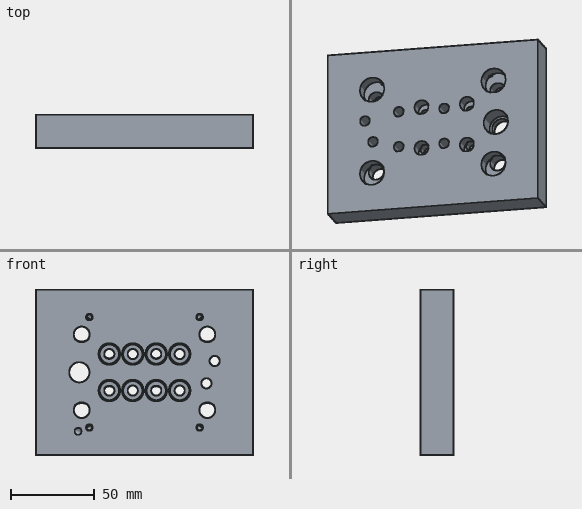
import cadquery as cq
import math

LENGTH = 130.0
THICKNESS = 20.0
HEIGHT = 99.0
FRONT_Y = -THICKNESS / 2
BACK_Y = THICKNESS / 2

DRILL_TIP_ANGLE = 118.0

OUTLET_COLUMNS = 4
OUTLET_PITCH = 14.0
OUTLET_ROW_Z = 10.9
OUTLET_DIA = 6.0
RECESS_MOUTH_DIA = 13.0
RECESS_FLOOR_DIA = 11.5
RECESS_DEPTH = 2.3

OUTLET_PORT_DIA = 8.6
OUTLET_PORT_OFFSET = 1.8
OUTLET_PORT_COLUMNS = (0, 2)

PASSAGE_X = 37.6
PASSAGE_Z = 22.6
PASSAGE_DIA = 9.4
MAIN_PORT_DIA = 15.0
PASSAGE_PORT_OFFSET = 3.4

PORT_DEPTH = THICKNESS / 2
PORT_OVERLAP = 1.3
MEETING_DEPTH = THICKNESS - PORT_DEPTH + PORT_OVERLAP

SUPPLY_X = -39.0
SUPPLY_DIA = 12.0
SUPPLY_FRONT_LENGTH = 6.0

PILOT_DIA = 6.0
PILOT_PLACES = ((42.0, 6.8), (37.0, -6.6))

SCREW_SPACING = 66.0
SCREW_DIA = 3.2
SCREW_MOUTH_DIA = 4.0
SCREW_CHAMFER = (SCREW_MOUTH_DIA - SCREW_DIA) / 2
BLIND_DEPTH = 10.4

LOCATOR_X = -39.8
LOCATOR_Z = -35.4
LOCATOR_DIA = 4.2


def front_cutter(x, z, mouth_dia, end_dia, depth, start=0.0):
    """Tapered or straight round cutter going in from `start` below the front face."""
    base = cq.Vector(x, FRONT_Y + start, z)
    inward = cq.Vector(0, 1, 0)
    if mouth_dia == end_dia:
        return cq.Solid.makeCylinder(mouth_dia / 2, depth, base, inward)
    return cq.Solid.makeCone(mouth_dia / 2, end_dia / 2, depth, base, inward)


def through_hole(x, z, dia):
    return front_cutter(x, z, dia, dia, THICKNESS)


def blind_hole(x, z, dia, depth):
    """Front drilling of full diameter to `depth`, ending in a drill point."""
    tip_length = dia / 2 / math.tan(math.radians(DRILL_TIP_ANGLE / 2))
    return front_cutter(x, z, dia, dia, depth).fuse(front_cutter(x, z, dia, 0, tip_length, start=depth))


def rear_port(x, z, dia, depth):
    """Flat-bottomed round port going in from the rear face."""
    return cq.Solid.makeCylinder(dia / 2, depth, cq.Vector(x, BACK_Y, z), cq.Vector(0, -1, 0))


def outlet_cutters():
    cutters = []
    for side in (-1, 1):
        z = side * OUTLET_ROW_Z
        for column in range(OUTLET_COLUMNS):
            x = (column - (OUTLET_COLUMNS - 1) / 2) * OUTLET_PITCH
            cutters.append(front_cutter(x, z, RECESS_MOUTH_DIA, RECESS_FLOOR_DIA, RECESS_DEPTH))
            if column in OUTLET_PORT_COLUMNS:
                port_z = z + side * OUTLET_PORT_OFFSET
                cutters.append(blind_hole(x, z, OUTLET_DIA, MEETING_DEPTH))
                cutters.append(rear_port(x, port_z, OUTLET_PORT_DIA, PORT_DEPTH))
            else:
                cutters.append(through_hole(x, z, OUTLET_DIA))
    return cutters


def passage_cutters():
    cutters = []
    for x in (-PASSAGE_X, PASSAGE_X):
        for side in (-1, 1):
            port_z = side * (PASSAGE_Z + PASSAGE_PORT_OFFSET)
            cutters.append(blind_hole(x, side * PASSAGE_Z, PASSAGE_DIA, MEETING_DEPTH))
            cutters.append(rear_port(x, port_z, MAIN_PORT_DIA, PORT_DEPTH))
    return cutters


def supply_cutters():
    port_depth = THICKNESS - SUPPLY_FRONT_LENGTH
    return [
        through_hole(SUPPLY_X, 0, SUPPLY_DIA),
        rear_port(SUPPLY_X, 0, MAIN_PORT_DIA, port_depth),
    ]


def screw_cutters():
    cutters = []
    for x in (-SCREW_SPACING / 2, SCREW_SPACING / 2):
        for z in (-SCREW_SPACING / 2, SCREW_SPACING / 2):
            cutters.append(blind_hole(x, z, SCREW_DIA, BLIND_DEPTH))
            cutters.append(front_cutter(x, z, SCREW_MOUTH_DIA, SCREW_DIA, SCREW_CHAMFER))
    return cutters


cutters = outlet_cutters() + passage_cutters() + supply_cutters() + screw_cutters()
cutters += [through_hole(x, z, PILOT_DIA) for x, z in PILOT_PLACES]
cutters.append(blind_hole(LOCATOR_X, LOCATOR_Z, LOCATOR_DIA, BLIND_DEPTH))

result = cq.Workplane("XY").box(LENGTH, THICKNESS, HEIGHT)
for cutter in cutters:
    result = result.cut(cq.Workplane(obj=cutter))